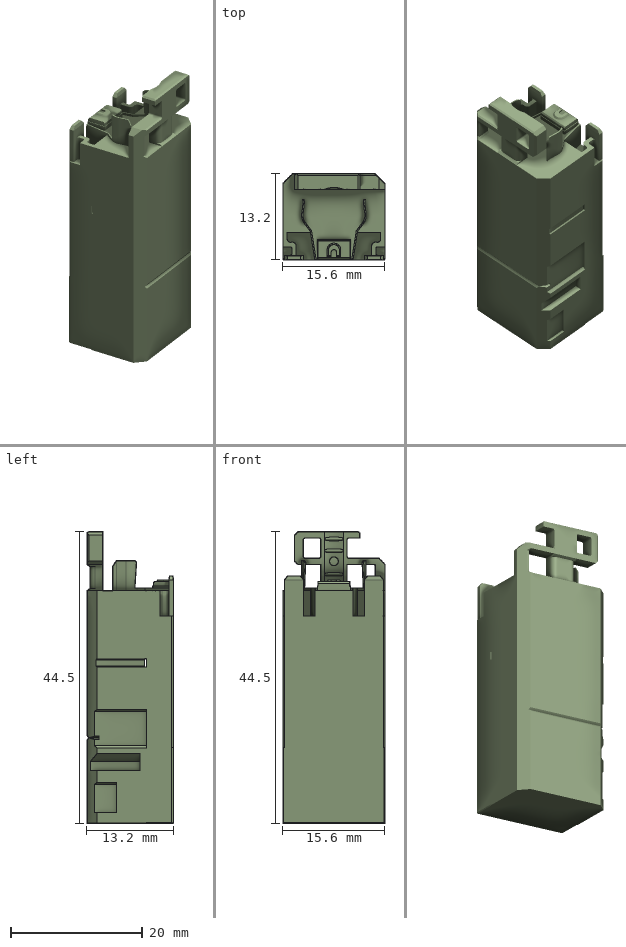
import cadquery as cq
import math

BODY_W = 15.6
BODY_D = 13.19
BODY_H = 35.5
TOTAL_H = 44.5
HALF_W = BODY_W / 2
BACK_CORNER = 1.5
EDGE_DEPTH = 0.3
UPPER_EDGE = 0.25
LOWER_EDGE = 0.14
EDGE_STEP_Z = 11.6
BOTTOM_CHAMFER = 0.14
BOTTOM_CHAMFER_Y = 4.16
MARGIN = 1.0

SLOT_Z = 31.65
PRONG_OUT = HALF_W - UPPER_EDGE
PRONG_IN = 4.63
PRONG_T = 0.75
PRONG_SHOULDER = 37.13
PRONG_TOP = 37.73
PRONG_TIP_INSET = 0.48
PRONG_TIP_T = 0.5
GROOVE_Y = 2.05
GROOVE_R = 0.3
NECK_OUT = 6.4
NECK_IN = 5.75
POCKET_Y = 4.2
POCKET_OUT = 7.13
POCKET_R = 0.5
POCKET_BEND = (6.5, 2.75)

SHEET_T = 0.2
CLIP_FRONT = 2.9
CLIP_KNEE = (3.6, 4.4)
CLIP_SHOULDER = (4.5, 5.6)
CLIP_BULGE = (4.9, 7.24)
CLIP_WAIST = (4.72, 8.7)
WING_END = (4.78, 9.3)
BAND_TOP = 35.9
BAND_FRONT = 0.1
WING_TOP = 40.06
WING_FOOT_Y = 5.9
WING_FRONT_Y = 5.65
WING_REAR_STEP = 39.2
WING_REAR_INSET = 0.55
WING_CORNER = 0.25

BUTTON_W = 4.86
BUTTON_BACK = 3.1
BUTTON_TOP = 36.9
BUTTON_CHAMFER = 0.32
BUTTON_BACK_CHAMFER = 0.2
FOOT_RIM = 0.1
FOOT_TOP = 36.2
EMBOSS_R = 1.04
EMBOSS_Y = 1.56
EMBOSS_FRONT = 0.55
EMBOSS_H = 0.25
EMBOSS_TAPER = 40
NOTCH_R = 0.42
NOTCH_Y = 1.2

HANDLE_FRONT = 10.8
HANDLE_LEFT = -6.04
HANDLE_CHAMFER = 0.55
HANDLE_EDGE = 0.28
TOP_EDGE_DROP = 0.14
BAR_END = 3.95
BAR_BOTTOM = 43.5
BAR_END_CHAMFER = 0.25
WINDOW_LEFT = -4.65
STEM_HALF = 2.02
ARM_TOP = 40.45
ARM_BOTTOM = 39.47
ARM_CHAMFER = 0.95
LEG_IN = 6.3
CORNER_R = 0.25
LEG_FOOT = 0.25
LOWER_BACK = 12.78
LOWER_BEVEL = 0.3
STEM_ROUND = 0.78

CHANNEL_HALF = 1.45
CHANNEL_DEPTH = 0.3
RIB_TOP = 43.64
RIB_PITCH = 1.8
RIB_SPACES = (0, 1, 3, 4)
RIB_H = 0.54
PIN_R = 0.67
PIN_Z = 39.97

SLIT_FRONT = 4.16
SLIT_BACK = 4.43
SLIT_LOW = 23.85
SLIT_HIGH = 25.1
SHALLOW = 0.15
PAD_LOW = 11.5
PAD_HIGH = 17.34
PAD_DEPTH = 0.4
PAD_SLOPE = 0.28
PAD_LOW_SLOPE = 0.35
LATCH_FRONT = 5.13
LATCH_LOW = 8.04
LATCH_HIGH = 10.65
LATCH_DEPTH = 1.0
LATCH_RAMP = 1.2
FOOT_PAD_FRONT = 8.73
FOOT_PAD_LOW = 1.64
FOOT_PAD_HIGH = 6.24
V_Z = 13.05
V_HALF = 0.35
V_DEPTH = 0.25
V_CORNER_Y = 11.35
V_FLOOR = 1.3


def box(x0, x1, y0, y1, z0, z1):
    return cq.Workplane("XY").box(x1 - x0, y1 - y0, z1 - z0, centered=False).translate((x0, y0, z0))


def prism_z(points, z0, z1):
    return cq.Workplane("XY").workplane(offset=z0).polyline(points).close().extrude(z1 - z0)


def prism_y(points, y0, y1):
    """Extrude an (x, z) outline from y0 to y1."""
    return cq.Workplane("XZ", origin=(0, y0, 0)).polyline(points).close().extrude(y0 - y1)


def prism_x(points, x0, x1):
    """Extrude a (y, z) outline from x0 to x1."""
    return cq.Workplane("YZ", origin=(x0, 0, 0)).polyline(points).close().extrude(x1 - x0)


def body_section(edge, z0, z1):
    half = [
        (HALF_W - edge, 0),
        (HALF_W, EDGE_DEPTH),
        (HALF_W, BODY_D - BACK_CORNER),
        (HALF_W - BACK_CORNER, BODY_D),
    ]
    return prism_z(half + [(-x, y) for x, y in reversed(half)], z0, z1)


def make_body():
    lower = body_section(LOWER_EDGE, 0, EDGE_STEP_Z).faces("<Z").edges("<Y").chamfer(BOTTOM_CHAMFER)
    body = lower.union(body_section(UPPER_EDGE, EDGE_STEP_Z, BODY_H))
    corner = [(-HALF_W, 0), (BOTTOM_CHAMFER - HALF_W, 0), (-HALF_W, BOTTOM_CHAMFER)]
    bevel = prism_y(corner, -MARGIN, BOTTOM_CHAMFER_Y)
    return body.cut(bevel).cut(bevel.mirror("YZ"))


def prong_pocket():
    """Pocket behind the right prong, open to the front slot, and the groove beside it."""
    wall_x = CLIP_FRONT + (CLIP_KNEE[0] - CLIP_FRONT) * POCKET_Y / CLIP_KNEE[1]
    pocket = (
        cq.Workplane("XY").workplane(offset=SLOT_Z)
        .moveTo(CLIP_FRONT, -MARGIN)
        .lineTo(CLIP_FRONT, 0)
        .lineTo(wall_x, POCKET_Y)
        .lineTo(POCKET_OUT, POCKET_Y)
        .lineTo(POCKET_OUT, POCKET_BEND[1] + POCKET_R)
        .tangentArcPoint(POCKET_BEND, relative=False)
        .tangentArcPoint((NECK_IN, POCKET_BEND[1] - POCKET_R), relative=False)
        .lineTo(NECK_IN, PRONG_T)
        .lineTo(PRONG_IN, PRONG_T)
        .lineTo(PRONG_IN, -MARGIN)
        .close()
        .extrude(BODY_H + MARGIN - SLOT_Z)
    )
    groove = box(NECK_OUT, HALF_W + MARGIN, PRONG_T, GROOVE_Y, SLOT_Z, BODY_H + MARGIN)
    groove = groove.edges("|Z and <X").fillet(GROOVE_R)
    relief = box(PRONG_OUT, HALF_W + MARGIN, -MARGIN, GROOVE_Y, SLOT_Z, BODY_H + MARGIN)
    return pocket.union(groove).union(relief)


def prong_tip():
    """Part of the right prong above the body, with a tapered top."""
    width = PRONG_OUT - PRONG_IN
    middle = (PRONG_OUT + PRONG_IN) / 2
    post = box(PRONG_IN, PRONG_OUT, 0, PRONG_T, BODY_H, PRONG_SHOULDER)
    cap = (
        cq.Workplane("XY", origin=(middle, PRONG_T / 2, PRONG_SHOULDER))
        .rect(width, PRONG_T)
        .workplane(offset=PRONG_TOP - PRONG_SHOULDER)
        .rect(width - 2 * PRONG_TIP_INSET, PRONG_TIP_T)
        .loft()
    )
    return post.union(cap)


def clip_outline():
    """Outer contour of the right half of the sheet, closed beyond the centre line and the wing end."""
    rear = WING_END[1] + MARGIN
    return (
        cq.Workplane("XY").workplane(offset=SLOT_Z)
        .moveTo(-MARGIN, 0)
        .lineTo(CLIP_FRONT, 0)
        .lineTo(*CLIP_KNEE)
        .lineTo(*CLIP_SHOULDER)
        .tangentArcPoint(CLIP_BULGE, relative=False)
        .tangentArcPoint(CLIP_WAIST, relative=False)
        .tangentArcPoint(WING_END, relative=False)
        .lineTo(WING_END[0], rear)
        .lineTo(-MARGIN, rear)
        .close()
    )


def make_clip():
    height = WING_TOP - SLOT_Z
    sheet = clip_outline().extrude(height).cut(clip_outline().offset2D(-SHEET_T).extrude(height))
    side_profile = [
        (0, SLOT_Z),
        (WING_END[1], SLOT_Z),
        (WING_END[1], WING_REAR_STEP),
        (WING_END[1] - WING_REAR_INSET, WING_TOP),
        (WING_FRONT_Y + WING_CORNER, WING_TOP),
        (WING_FRONT_Y, WING_TOP - WING_CORNER),
        (WING_FOOT_Y, BAND_TOP),
        (BAND_FRONT, BAND_TOP),
        (BAND_FRONT, BODY_H),
        (0, BODY_H),
    ]
    half = sheet.intersect(prism_x(side_profile, 0, HALF_W))
    return half.union(half.mirror("YZ"))


def make_button():
    half = BUTTON_W / 2
    side_profile = [
        (BAND_FRONT, BODY_H),
        (BAND_FRONT, BUTTON_TOP - BUTTON_CHAMFER),
        (BAND_FRONT + BUTTON_CHAMFER, BUTTON_TOP),
        (BUTTON_BACK - BUTTON_BACK_CHAMFER, BUTTON_TOP),
        (BUTTON_BACK, BUTTON_TOP - BUTTON_BACK_CHAMFER),
        (BUTTON_BACK, BODY_H),
    ]
    block = prism_x(side_profile, -half, half)
    rim = half + FOOT_RIM
    foot = box(-rim, rim, BAND_FRONT, BUTTON_BACK + FOOT_RIM, BODY_H, FOOT_TOP)
    emboss = (
        cq.Workplane("XY").workplane(offset=BUTTON_TOP)
        .moveTo(-EMBOSS_R, EMBOSS_FRONT)
        .lineTo(EMBOSS_R, EMBOSS_FRONT)
        .lineTo(EMBOSS_R, EMBOSS_Y)
        .threePointArc((0, EMBOSS_Y + EMBOSS_R), (-EMBOSS_R, EMBOSS_Y))
        .close()
        .extrude(EMBOSS_H, taper=EMBOSS_TAPER)
    )
    notch = (
        cq.Workplane("XY").workplane(offset=BUTTON_TOP)
        .moveTo(-NOTCH_R, EMBOSS_FRONT)
        .lineTo(NOTCH_R, EMBOSS_FRONT)
        .lineTo(NOTCH_R, NOTCH_Y)
        .threePointArc((0, NOTCH_Y + NOTCH_R), (-NOTCH_R, NOTCH_Y))
        .close()
        .extrude(EMBOSS_H)
    )
    return block.union(foot).union(emboss.cut(notch))


def handle_blank():
    outline = [
        (HANDLE_LEFT, ARM_BOTTOM + HANDLE_CHAMFER),
        (HANDLE_LEFT, TOTAL_H - HANDLE_CHAMFER),
        (HANDLE_LEFT + HANDLE_CHAMFER, TOTAL_H),
        (BAR_END - BAR_END_CHAMFER, TOTAL_H),
        (BAR_END, TOTAL_H - BAR_END_CHAMFER),
        (BAR_END, BAR_BOTTOM),
        (STEM_HALF, BAR_BOTTOM),
        (STEM_HALF, ARM_TOP),
        (HALF_W - ARM_CHAMFER, ARM_TOP),
        (HALF_W, ARM_TOP - ARM_CHAMFER),
        (HALF_W, BODY_H),
        (LEG_IN - LEG_FOOT, BODY_H),
        (LEG_IN, BODY_H + LEG_FOOT),
        (LEG_IN, ARM_BOTTOM),
        (STEM_HALF, ARM_BOTTOM),
        (STEM_HALF, BODY_H),
        (-STEM_HALF, BODY_H),
        (-STEM_HALF, ARM_BOTTOM),
        (HANDLE_LEFT + HANDLE_CHAMFER, ARM_BOTTOM),
    ]
    blank = prism_y(outline, HANDLE_FRONT, BODY_D)
    inner_corners = [
        (STEM_HALF, BAR_BOTTOM),
        (STEM_HALF, ARM_TOP),
        (LEG_IN, ARM_BOTTOM),
    ]
    middle = (HANDLE_FRONT + BODY_D) / 2
    for x, z in inner_corners:
        corner = cq.selectors.NearestToPointSelector((x, middle, z))
        blank = blank.edges(corner).fillet(CORNER_R)
    window = box(WINDOW_LEFT, -STEM_HALF, HANDLE_FRONT, BODY_D, ARM_TOP, BAR_BOTTOM)
    return blank.cut(window.edges("|Y").fillet(CORNER_R))


def stem_channel():
    """Circular-arc channel along the stem front, interrupted by the ribs."""
    channel = (
        cq.Workplane("XY", origin=(0, HANDLE_FRONT, BODY_H))
        .moveTo(-CHANNEL_HALF, 0)
        .threePointArc((0, CHANNEL_DEPTH), (CHANNEL_HALF, 0))
        .close()
        .extrude(TOTAL_H - BODY_H)
    )
    for space in RIB_SPACES:
        top = RIB_TOP - space * RIB_PITCH
        rib = (
            cq.Workplane("YZ", origin=(-CHANNEL_HALF, 0, 0))
            .moveTo(HANDLE_FRONT + CHANNEL_DEPTH, top)
            .threePointArc((HANDLE_FRONT, top - RIB_H / 2), (HANDLE_FRONT + CHANNEL_DEPTH, top - RIB_H))
            .close()
            .extrude(2 * CHANNEL_HALF)
        )
        channel = channel.cut(rib)
    return channel


def stem_rounding():
    """Material outside the rounded right back edge of the lower stem."""
    flat = LOWER_BACK - STEM_ROUND
    lean = STEM_ROUND * math.sqrt(0.5)
    return (
        cq.Workplane("XY").workplane(offset=BODY_H + LOWER_BEVEL)
        .moveTo(STEM_HALF, flat)
        .threePointArc((STEM_HALF - STEM_ROUND + lean, flat + lean), (STEM_HALF - STEM_ROUND, LOWER_BACK))
        .lineTo(STEM_HALF, LOWER_BACK)
        .close()
        .extrude(ARM_BOTTOM - BODY_H - 2 * LOWER_BEVEL)
    )


def make_handle():
    side_profile = [
        (HANDLE_FRONT, BODY_H),
        (BODY_D, BODY_H),
        (LOWER_BACK, BODY_H + LOWER_BEVEL),
        (LOWER_BACK, ARM_BOTTOM - LOWER_BEVEL),
        (BODY_D, ARM_BOTTOM),
        (BODY_D, TOTAL_H - TOP_EDGE_DROP),
        (BODY_D - HANDLE_EDGE, TOTAL_H),
        (HANDLE_FRONT, TOTAL_H),
    ]
    handle = handle_blank().intersect(prism_x(side_profile, -HALF_W, HALF_W))
    back_edge = [
        (HANDLE_LEFT, BODY_D - HANDLE_EDGE),
        (HANDLE_LEFT, BODY_D),
        (HANDLE_LEFT + HANDLE_EDGE, BODY_D),
    ]
    handle = handle.cut(prism_z(back_edge, BODY_H, TOTAL_H))
    arm_edge = [
        (BODY_D, ARM_TOP - TOP_EDGE_DROP),
        (BODY_D, ARM_TOP),
        (BODY_D - HANDLE_EDGE, ARM_TOP),
    ]
    handle = handle.cut(prism_x(arm_edge, STEM_HALF, HALF_W))
    rounding = stem_rounding()
    handle = handle.cut(rounding).cut(rounding.mirror("YZ"))
    handle = handle.intersect(body_section(0, BODY_H, TOTAL_H))
    pin = (
        cq.Workplane("XZ", origin=(0, HANDLE_FRONT, PIN_Z))
        .circle(PIN_R)
        .extrude(-CHANNEL_DEPTH)
    )
    return handle.cut(stem_channel()).union(pin)


def side_recess(y_front, z_low, z_high, depth, low_slope=0.0, high_slope=0.0):
    """Recess in the -X side, open to the back corner; its end walls lean over the slope heights."""
    floor = depth - HALF_W
    profile = [
        (-HALF_W - MARGIN, z_low),
        (-HALF_W, z_low),
        (floor, z_low + low_slope),
        (floor, z_high - high_slope),
        (-HALF_W, z_high),
        (-HALF_W - MARGIN, z_high),
    ]
    return prism_y(profile, y_front, BODY_D)


def cut_side_features(part):
    recesses = [
        side_recess(SLIT_FRONT, SLIT_LOW, SLIT_HIGH, SHALLOW, SHALLOW, SHALLOW),
        side_recess(SLIT_FRONT, PAD_LOW, PAD_HIGH, PAD_DEPTH, PAD_LOW_SLOPE, PAD_SLOPE),
        side_recess(LATCH_FRONT, LATCH_LOW, LATCH_HIGH, LATCH_DEPTH, high_slope=LATCH_RAMP),
        side_recess(FOOT_PAD_FRONT, FOOT_PAD_LOW, FOOT_PAD_HIGH, PAD_DEPTH, high_slope=PAD_SLOPE),
    ]
    for recess in recesses:
        part = part.cut(recess)
    part = part.cut(box(-HALF_W, HALF_W, SLIT_FRONT, SLIT_BACK, SLIT_LOW, SLIT_HIGH))
    back_v = [
        (BODY_D, V_Z - V_HALF),
        (BODY_D - V_DEPTH, V_Z),
        (BODY_D, V_Z + V_HALF),
    ]
    part = part.cut(prism_x(back_v, -HALF_W, HALF_W))
    corner_v = [
        (V_FLOOR - HALF_W, V_Z),
        (-HALF_W, V_Z - V_HALF),
        (-HALF_W, V_Z + V_HALF),
    ]
    return part.cut(prism_y(corner_v, V_CORNER_Y, BODY_D))


body = make_body()
tip = prong_tip()
pocket = prong_pocket()
result = body.cut(pocket).cut(pocket.mirror("YZ"))
result = result.union(tip).union(tip.mirror("YZ"))
result = result.union(make_clip()).union(make_button()).union(make_handle())
result = cut_side_features(result)